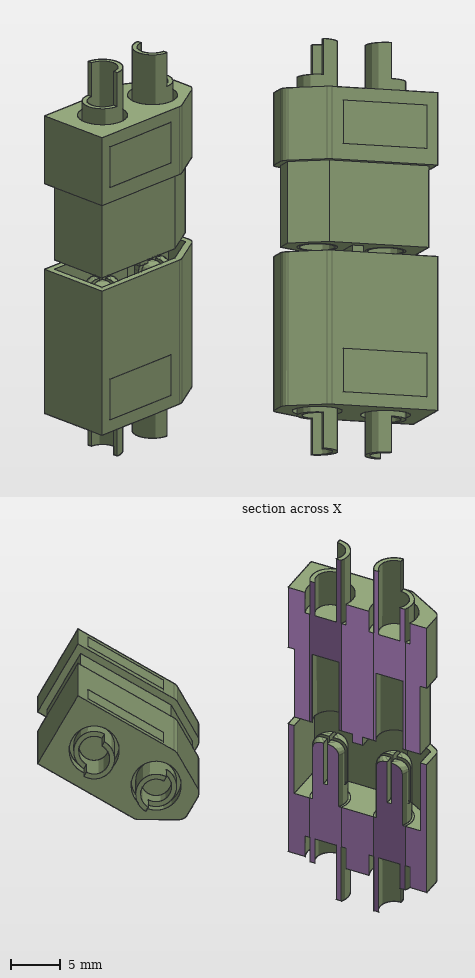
import cadquery as cq
import math


TOTAL_HEIGHT = 42.1
CUP_LENGTH = 3.7
SOCKET_BOTTOM = 4.15
SOCKET_TOP = 20.0
PLUG_BOTTOM = 21.0
PLUG_SHOULDER = 29.37
PLUG_TOP = 36.8
PIN_TOP = 18.95

WIDTH = 8.12
LENGTH = 15.75
TAPER_START = 3.6
TAPER_ANGLE = 30.0
CORNER_RADIUS = 1.0
CAVITY_WALL = 0.7

TAB_LENGTH = 4.45
TAB_THICKNESS = 1.18
TAB_HEIGHT = 1.0
TAB_OFFSET = 0.1

CONTACT_SPACING = 7.25
CONTACT_RADIUS = 2.05
CUP_RADIUS = 1.55
PIN_RADIUS = 1.8
PIN_TIP_RADIUS = 1.0
PIN_SLOT_WIDTH = 0.4
PIN_SLOT_DEPTH = 5.05
RECESS_RADIUS = 2.52
RECESS_DEPTH = 2.52

LABEL_LENGTH = 8.85
LABEL_HEIGHT = 4.45
LABEL_THICKNESS = 0.2
LABEL_END_MARGIN = 1.35
LABEL_SIDE_MARGIN = 1.18

NOSE_LENGTH = PLUG_SHOULDER - PLUG_BOTTOM
CAVITY_FLOOR = SOCKET_TOP - NOSE_LENGTH
PLUG_RECESS_FLOOR = PLUG_TOP - RECESS_DEPTH
SOCKET_RECESS_FLOOR = SOCKET_BOTTOM + RECESS_DEPTH
LABEL_Y = -LENGTH / 2 + LABEL_SIDE_MARGIN + LABEL_LENGTH / 2
PLUG_LABEL_Z = PLUG_TOP - LABEL_END_MARGIN - LABEL_HEIGHT / 2
SOCKET_LABEL_Z = SOCKET_BOTTOM + LABEL_END_MARGIN + LABEL_HEIGHT / 2
CONTACT_SIDES = (-1, 1)
LABEL_SIDES = (-1, 1)


def tapered_prism(inset, bottom, top):
    """Prism of the housing outline moved inward by `inset`, with sharp edges."""
    half_width = WIDTH / 2 - inset
    half_length = LENGTH / 2 - inset
    taper = math.radians(TAPER_ANGLE)
    taper_y = TAPER_START - inset * math.tan(taper / 2)
    tip_x = half_width - (half_length - taper_y) * math.tan(taper)
    outline = [
        (-half_width, -half_length),
        (half_width, -half_length),
        (half_width, taper_y),
        (tip_x, half_length),
        (-tip_x, half_length),
        (-half_width, taper_y),
    ]
    return cq.Workplane("XY").workplane(offset=bottom).polyline(outline).close().extrude(top - bottom)


def housing_block(bottom, top):
    """Outer block of a housing, with the edges of its tapered end rounded."""
    block = tapered_prism(0, bottom, top)
    tapered_end = cq.selectors.BoxSelector((-WIDTH, 0, bottom), (WIDTH, LENGTH, top))
    return block.edges("|Z").edges(tapered_end).fillet(CORNER_RADIUS)


def cylinder(radius, bottom, top):
    """Upright cylinder on the Z axis."""
    return cq.Workplane("XY").workplane(offset=bottom).circle(radius).extrude(top - bottom)


def at_contact(shape, side):
    """Move a shape from the Z axis to the contact position on one side."""
    return shape.translate((0, side * CONTACT_SPACING / 2, 0))


def make_label(side, center_z):
    """Thin plate lying flush in the housing side face."""
    center_x = side * (WIDTH - LABEL_THICKNESS) / 2
    return cq.Workplane("XY").box(LABEL_THICKNESS, LABEL_LENGTH, LABEL_HEIGHT).translate(
        (center_x, LABEL_Y, center_z))


def make_plug_housing():
    tab_bottom = PLUG_BOTTOM - TAB_HEIGHT
    tab = cq.Workplane("XY").workplane(offset=tab_bottom).center(TAB_OFFSET, 0).rect(
        TAB_LENGTH, TAB_THICKNESS).extrude(TAB_HEIGHT)
    housing = housing_block(PLUG_SHOULDER, PLUG_TOP)
    housing = housing.union(tapered_prism(CAVITY_WALL, PLUG_BOTTOM, PLUG_SHOULDER)).union(tab)
    for side in CONTACT_SIDES:
        housing = housing.cut(at_contact(cylinder(CONTACT_RADIUS, PLUG_BOTTOM, PLUG_TOP), side))
        housing = housing.cut(at_contact(cylinder(RECESS_RADIUS, PLUG_RECESS_FLOOR, PLUG_TOP), side))
    for side in LABEL_SIDES:
        housing = housing.cut(make_label(side, PLUG_LABEL_Z))
    return housing


def make_socket_housing():
    housing = housing_block(SOCKET_BOTTOM, SOCKET_TOP)
    housing = housing.cut(tapered_prism(CAVITY_WALL, CAVITY_FLOOR, SOCKET_TOP))
    for side in CONTACT_SIDES:
        housing = housing.cut(at_contact(cylinder(CONTACT_RADIUS, SOCKET_BOTTOM, CAVITY_FLOOR), side))
        housing = housing.cut(at_contact(cylinder(RECESS_RADIUS, SOCKET_BOTTOM, SOCKET_RECESS_FLOOR), side))
    for side in LABEL_SIDES:
        housing = housing.cut(make_label(side, SOCKET_LABEL_Z))
    return housing


def open_cup_side(side, bottom, top):
    """Block that removes the outward half of a solder cup."""
    size = 2 * RECESS_RADIUS
    return cq.Workplane("XY").workplane(offset=bottom).center(0, side * size / 2).rect(
        size, size).extrude(top - bottom)


def make_plug_contact(side):
    """Tube contact: a bore for the pin below and a solder cup above."""
    contact = cylinder(CONTACT_RADIUS, PLUG_BOTTOM, TOTAL_HEIGHT)
    contact = contact.cut(cylinder(PIN_RADIUS, PLUG_BOTTOM, PLUG_SHOULDER))
    contact = contact.cut(cylinder(CUP_RADIUS, PLUG_RECESS_FLOOR, TOTAL_HEIGHT))
    contact = contact.cut(open_cup_side(side, TOTAL_HEIGHT - CUP_LENGTH, TOTAL_HEIGHT))
    return at_contact(contact, side)


def make_socket_contact(side):
    """Pin contact: a cross-slotted pin with a rounded tip above and a solder cup below."""
    pin = cylinder(PIN_RADIUS, CAVITY_FLOOR, PIN_TOP).faces(">Z").edges().fillet(PIN_TIP_RADIUS)
    slot = cq.Workplane("XY").workplane(offset=PIN_TOP - PIN_SLOT_DEPTH).rect(
        2 * PIN_RADIUS, PIN_SLOT_WIDTH).extrude(PIN_SLOT_DEPTH)
    pin = pin.cut(slot).cut(slot.rotate((0, 0, 0), (0, 0, 1), 90))
    contact = cylinder(CONTACT_RADIUS, 0, CAVITY_FLOOR).union(pin)
    contact = contact.cut(cylinder(CUP_RADIUS, 0, SOCKET_RECESS_FLOOR))
    contact = contact.cut(open_cup_side(side, 0, CUP_LENGTH))
    return at_contact(contact, side)


plug_housing = make_plug_housing()
socket_housing = make_socket_housing()
plug_contacts = [make_plug_contact(side) for side in CONTACT_SIDES]
socket_contacts = [make_socket_contact(side) for side in CONTACT_SIDES]
labels = [make_label(side, z) for z in (PLUG_LABEL_Z, SOCKET_LABEL_Z) for side in LABEL_SIDES]

bodies = [plug_housing, socket_housing, *plug_contacts, *socket_contacts, *labels]
result = cq.Compound.makeCompound([body.val() for body in bodies])